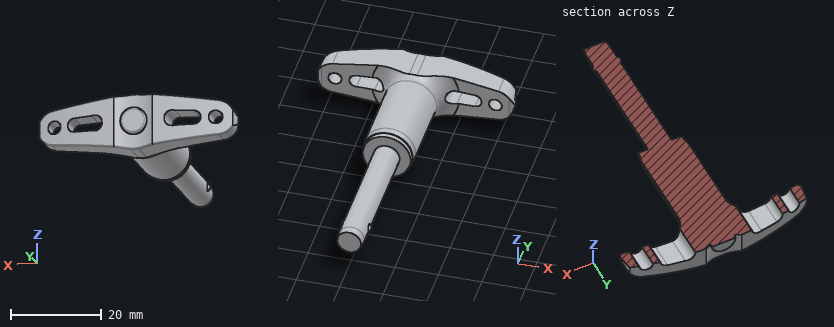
import cadquery as cq
import math


HEAD_LENGTH = 31.6
PIN_LENGTH = 32.0
HALF_SPAN = 22.6
HALF_DEPTH = 6.32

COS_45 = math.cos(math.radians(45))
FULL_TURN = 360

PIN_RADIUS = 3.0
TIP_RADIUS = 2.75
TIP_LENGTH = 1.8
BALL_RADIUS = 0.95
BALL_REACH = 3.5
BALL_FROM_TIP = 6.2

BODY_RADIUS = 5.9
COLLAR_RADIUS = 5.52
COLLAR_LENGTH = 1.3
TAPER_LENGTH = 1.5
TAPER_END_RADIUS = 5.65
FLARE_RADIUS = 4.2

BUTTON_RADIUS = 3.0
BUTTON_ROUND = 0.4

END_CENTER_X = 18.6
END_RADIUS = 4.02
WAIST_RADIUS = 7.3

UNDERSIDE_Y = 24.9
UNDERSIDE_RADIUS = 296.0
CREST_X = 4.4
CREST_Y = HEAD_LENGTH - 0.15
CROWN_MID_X = 13.2
CROWN_MID_Y = HEAD_LENGTH - 0.95
CROWN_END_X = 22.1
CROWN_END_Y = HEAD_LENGTH - 3.0
NOTCH_FLOOR_Y = HEAD_LENGTH - 1.35
END_FACE_LOW_Y = HEAD_LENGTH - 6.4
CORNER_RADIUS = 1.05
CROWN_EDGE_ROUND = 0.26

HOLE_X = 18.45
HOLE_RADIUS = 1.5
SLOT_INNER_X = 8.9
SLOT_INNER_RADIUS = 1.8
SLOT_OUTER_X = 13.65
SLOT_OUTER_RADIUS = 1.55
SLOT_NECK_HALF_WIDTH = 1.72


def underside_y(x):
    """Height of the gently arched handle underside at distance x from the pin axis."""
    return UNDERSIDE_Y - UNDERSIDE_RADIUS + math.sqrt(UNDERSIDE_RADIUS**2 - x**2)


def revolved(outline):
    """Turn a closed (radius, Y) outline around the pin axis."""
    return outline.close().revolve(FULL_TURN, (0, 0, 0), (0, 1, 0))


def make_outline():
    """Prism along Y: rounded ends, sloping sides and a rounded waist."""
    waist_center_z = HALF_DEPTH - WAIST_RADIUS
    center_distance = math.hypot(END_CENTER_X, waist_center_z)
    slope = math.asin((WAIST_RADIUS - END_RADIUS) / center_distance)
    slope += math.atan2(waist_center_z, END_CENTER_X)
    slope_sin = math.sin(slope)
    slope_cos = math.cos(slope)
    waist_x = WAIST_RADIUS * slope_sin
    waist_z = waist_center_z + WAIST_RADIUS * slope_cos
    end_x = END_CENTER_X + END_RADIUS * slope_sin
    end_z = END_RADIUS * slope_cos
    tip_x = END_CENTER_X + END_RADIUS
    return (
        cq.Workplane("XZ")
        .moveTo(-waist_x, waist_z)
        .threePointArc((0, HALF_DEPTH), (waist_x, waist_z))
        .lineTo(end_x, end_z)
        .threePointArc((tip_x, 0), (end_x, -end_z))
        .lineTo(waist_x, -waist_z)
        .threePointArc((0, -HALF_DEPTH), (-waist_x, -waist_z))
        .lineTo(-end_x, -end_z)
        .threePointArc((-tip_x, 0), (-end_x, end_z))
        .close()
        .extrude(-HEAD_LENGTH)
    )


def make_bar(outline):
    """Handle bar: arched profile trimmed to the outline, with its crown edges rounded."""
    corner_x = HALF_SPAN - CORNER_RADIUS
    corner_y = underside_y(corner_x)
    corner_mid = (
        corner_x + CORNER_RADIUS * COS_45,
        corner_y + CORNER_RADIUS * (1 - COS_45),
    )
    profile = (
        cq.Workplane("XY")
        .moveTo(-CREST_X, CREST_Y)
        .threePointArc((0, NOTCH_FLOOR_Y), (CREST_X, CREST_Y))
        .threePointArc((CROWN_MID_X, CROWN_MID_Y), (CROWN_END_X, CROWN_END_Y))
        .lineTo(HALF_SPAN, END_FACE_LOW_Y)
        .threePointArc(corner_mid, (corner_x, corner_y))
        .threePointArc((0, UNDERSIDE_Y), (-corner_x, corner_y))
        .threePointArc((-corner_mid[0], corner_mid[1]), (-HALF_SPAN, END_FACE_LOW_Y))
        .lineTo(-CROWN_END_X, CROWN_END_Y)
        .threePointArc((-CROWN_MID_X, CROWN_MID_Y), (-CREST_X, CREST_Y))
        .close()
        .extrude(HALF_DEPTH, both=True)
    )
    crown_box = cq.selectors.BoxSelector(
        (-HALF_SPAN, CROWN_END_Y - CROWN_EDGE_ROUND, -HALF_DEPTH),
        (HALF_SPAN, HEAD_LENGTH, HALF_DEPTH),
    )
    bar = profile.intersect(outline)
    return bar.edges(crown_box).edges("not |Z").fillet(CROWN_EDGE_ROUND)


def make_flare(outline):
    """Trumpet blend between body and handle, trimmed to the handle outline."""
    rim_radius = BODY_RADIUS + FLARE_RADIUS
    rim_y = underside_y(rim_radius)
    center_y = rim_y - FLARE_RADIUS
    arc_mid = (
        rim_radius - FLARE_RADIUS * COS_45,
        center_y + FLARE_RADIUS * COS_45,
    )
    trumpet = revolved(
        cq.Workplane("XY")
        .moveTo(0, center_y)
        .lineTo(BODY_RADIUS, center_y)
        .threePointArc(arc_mid, (rim_radius, rim_y))
        .lineTo(rim_radius, END_FACE_LOW_Y)
        .lineTo(0, END_FACE_LOW_Y)
    )
    return trumpet.intersect(outline)


def make_shaft():
    """Pin, collar and body as one turned piece ending inside the handle bar."""
    taper_top_y = COLLAR_LENGTH + TAPER_LENGTH
    return revolved(
        cq.Workplane("XY")
        .moveTo(0, -PIN_LENGTH)
        .lineTo(TIP_RADIUS, -PIN_LENGTH)
        .lineTo(PIN_RADIUS, TIP_LENGTH - PIN_LENGTH)
        .lineTo(PIN_RADIUS, 0)
        .lineTo(COLLAR_RADIUS, 0)
        .lineTo(COLLAR_RADIUS, COLLAR_LENGTH)
        .lineTo(TAPER_END_RADIUS, COLLAR_LENGTH)
        .lineTo(BODY_RADIUS, taper_top_y)
        .lineTo(BODY_RADIUS, END_FACE_LOW_Y)
        .lineTo(0, END_FACE_LOW_Y)
    )


def make_button():
    """Release button standing in the thumb notch."""
    height = HEAD_LENGTH - END_FACE_LOW_Y
    return (
        cq.Workplane("XZ", origin=(0, END_FACE_LOW_Y, 0))
        .circle(BUTTON_RADIUS)
        .extrude(-height)
        .faces(">Y")
        .edges()
        .fillet(BUTTON_ROUND)
    )


def make_ball(side):
    """Locking ball showing through the pin wall."""
    center_x = side * (BALL_REACH - BALL_RADIUS)
    center_y = BALL_FROM_TIP - PIN_LENGTH
    return cq.Workplane("XY").sphere(BALL_RADIUS).translate((center_x, center_y, 0))


def make_openings(side):
    """Round hole and keyhole-shaped slot through one arm of the handle."""
    arm = cq.Workplane("XZ")
    hole = arm.center(side * HOLE_X, 0).circle(HOLE_RADIUS).extrude(-HEAD_LENGTH)
    bulb = arm.center(side * SLOT_INNER_X, 0).circle(SLOT_INNER_RADIUS).extrude(-HEAD_LENGTH)
    neck = (
        arm.moveTo(side * SLOT_INNER_X, SLOT_NECK_HALF_WIDTH)
        .lineTo(side * SLOT_OUTER_X, SLOT_OUTER_RADIUS)
        .threePointArc(
            (side * (SLOT_OUTER_X + SLOT_OUTER_RADIUS), 0),
            (side * SLOT_OUTER_X, -SLOT_OUTER_RADIUS),
        )
        .lineTo(side * SLOT_INNER_X, -SLOT_NECK_HALF_WIDTH)
        .close()
        .extrude(-HEAD_LENGTH)
    )
    return hole.union(bulb).union(neck)


handle_outline = make_outline()
result = make_bar(handle_outline).union(make_flare(handle_outline))
for arm_side in (-1, 1):
    result = result.cut(make_openings(arm_side))
result = result.union(make_shaft()).union(make_button())
for ball_side in (-1, 1):
    result = result.union(make_ball(ball_side))